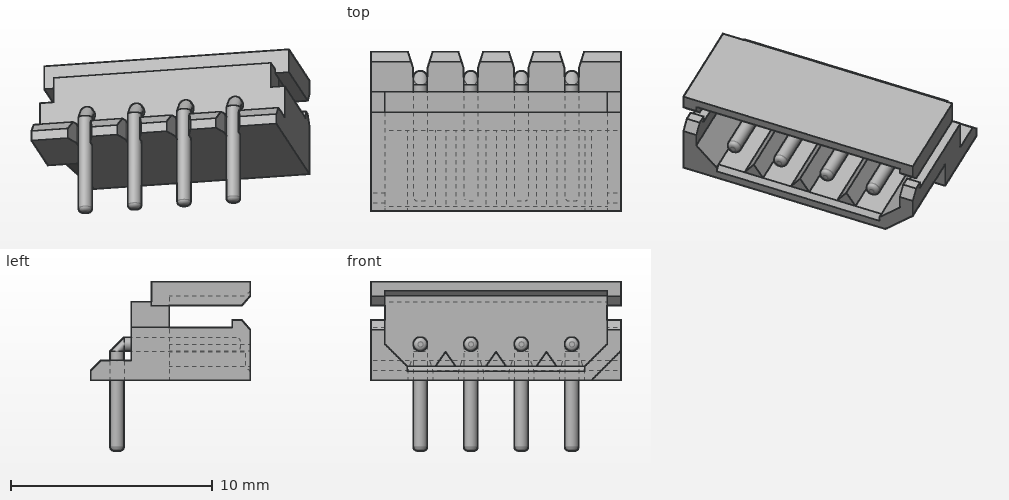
import cadquery as cq


PIN_COUNT = 4
PITCH = 2.5
PIN_DIAMETER = 0.7
PIN_RADIUS = PIN_DIAMETER / 2
PIN_TIP_FILLET = 0.22
PIN_AXIS_Z = 1.8
PIN_LEG_Y = 6.6
PIN_FRONT_Y = 0.5
PIN_BOTTOM_Z = -3.5
CONTACT_END_Y = PIN_LEG_Y - PIN_RADIUS
LEG_TOP_Z = PIN_AXIS_Z - PIN_RADIUS
PIN_XS = [(i - (PIN_COUNT - 1) / 2) * PITCH for i in range(PIN_COUNT)]

WIDTH = 12.4
HALF_WIDTH = WIDTH / 2
SIDE_WALL = 0.7
INNER_HALF = HALF_WIDTH - SIDE_WALL
BODY_REAR_Y = 5.9
SIDE_WALL_TOP_Z = 2.63
REAR_BLOCK_TOP_Z = 3.9

LUG_LENGTH = 0.9
LUG_TOP_Z = 3.0
LEAD_IN_DEPTH = 0.42
LEAD_IN_HEIGHT = 0.48

HOOD_DEPTH = 4.9
HOOD_TOP_Z = 4.9
HOOD_BOTTOM_Z = 3.7

CAVITY_DEPTH = 4.0
CAVITY_FLOOR_Z = 0.7
CAVITY_CEILING_Z = 4.2
CAVITY_CORNER = 1.1
FLOOR_HALF = INNER_HALF - CAVITY_CORNER
MOUTH_CHAMFER = 0.25

RIB_HALF_WIDTH = 0.5
RIB_HEIGHT = 0.72

FLANGE_REAR_Y = 7.9
FLANGE_THICKNESS = 1.0
FLANGE_CHAMFER = 0.5
SLOT_FLARE_Y = 7.08
SLOT_MOUTH_WIDTH = 1.22

CORNER_BEVEL = 1.48


def prism_along_x(points, half_width):
    """Extrude a (Y, Z) outline symmetrically about X = 0."""
    return cq.Workplane("YZ").polyline(points).close().extrude(half_width, both=True)


def prism_along_y(points, start_y, end_y):
    """Extrude an (X, Z) outline from start_y to end_y."""
    plane = cq.Workplane("XZ", origin=(0, start_y, 0))
    return plane.polyline(points).close().extrude(start_y - end_y)


def lower_body():
    """Side profile with the front lugs and the rear flange."""
    return prism_along_x(
        [
            (0, 0),
            (FLANGE_REAR_Y, 0),
            (FLANGE_REAR_Y, FLANGE_THICKNESS - FLANGE_CHAMFER),
            (FLANGE_REAR_Y - FLANGE_CHAMFER, FLANGE_THICKNESS),
            (BODY_REAR_Y, FLANGE_THICKNESS),
            (BODY_REAR_Y, SIDE_WALL_TOP_Z),
            (LUG_LENGTH, SIDE_WALL_TOP_Z),
            (LUG_LENGTH, LUG_TOP_Z),
            (LEAD_IN_DEPTH, LUG_TOP_Z),
            (0, LUG_TOP_Z - LEAD_IN_HEIGHT),
        ],
        HALF_WIDTH,
    )


def rear_block():
    """Raised back wall between the side walls, carrying the hood."""
    return prism_along_x(
        [
            (CAVITY_DEPTH, 0),
            (BODY_REAR_Y, 0),
            (BODY_REAR_Y, REAR_BLOCK_TOP_Z),
            (CAVITY_DEPTH, REAR_BLOCK_TOP_Z),
        ],
        INNER_HALF,
    )


def hood():
    """Full-width roof, bevelled under its front edge."""
    return prism_along_x(
        [
            (LEAD_IN_DEPTH, HOOD_BOTTOM_Z),
            (HOOD_DEPTH, HOOD_BOTTOM_Z),
            (HOOD_DEPTH, HOOD_TOP_Z),
            (0, HOOD_TOP_Z),
            (0, HOOD_BOTTOM_Z + LEAD_IN_HEIGHT),
        ],
        HALF_WIDTH,
    )


def cavity():
    """Mating opening with sloped lower corners."""
    return prism_along_y(
        [
            (-FLOOR_HALF, CAVITY_FLOOR_Z),
            (FLOOR_HALF, CAVITY_FLOOR_Z),
            (INNER_HALF, CAVITY_FLOOR_Z + CAVITY_CORNER),
            (INNER_HALF, CAVITY_CEILING_Z),
            (-INNER_HALF, CAVITY_CEILING_Z),
            (-INNER_HALF, CAVITY_FLOOR_Z + CAVITY_CORNER),
        ],
        0,
        CAVITY_DEPTH,
    )


def mouth_chamfer(edge_z, outward, half_width):
    """Wedge that bevels the cavity edge at edge_z; outward is +1 up or -1 down."""
    return prism_along_x(
        [(0, edge_z), (MOUTH_CHAMFER, edge_z), (0, edge_z + outward * MOUTH_CHAMFER)],
        half_width,
    )


def floor_rib(center_x):
    """Triangular ridge from the floor chamfer to the back wall."""
    return prism_along_y(
        [
            (center_x - RIB_HALF_WIDTH, CAVITY_FLOOR_Z),
            (center_x + RIB_HALF_WIDTH, CAVITY_FLOOR_Z),
            (center_x, CAVITY_FLOOR_Z + RIB_HEIGHT),
        ],
        MOUTH_CHAMFER,
        CAVITY_DEPTH,
    )


def flange_slot(center_x):
    """Slot with a round seat for the pin leg and a flared open end."""
    half_mouth = SLOT_MOUTH_WIDTH / 2
    return (
        cq.Workplane("XY")
        .moveTo(center_x - PIN_RADIUS, PIN_LEG_Y)
        .threePointArc((center_x, PIN_LEG_Y - PIN_RADIUS), (center_x + PIN_RADIUS, PIN_LEG_Y))
        .lineTo(center_x + PIN_RADIUS, SLOT_FLARE_Y)
        .lineTo(center_x + half_mouth, FLANGE_REAR_Y)
        .lineTo(center_x - half_mouth, FLANGE_REAR_Y)
        .lineTo(center_x - PIN_RADIUS, SLOT_FLARE_Y)
        .close()
        .extrude(FLANGE_THICKNESS)
    )


def pin_hole(center_x):
    """Round hole through the back wall."""
    plane = cq.Workplane("XZ", origin=(center_x, CAVITY_DEPTH, PIN_AXIS_Z))
    return plane.circle(PIN_RADIUS).extrude(CAVITY_DEPTH - BODY_REAR_Y)


def corner_bevel():
    """Wedge removed from the lower +X corner, as deep as the cavity."""
    return prism_along_y(
        [(HALF_WIDTH - CORNER_BEVEL, 0), (HALF_WIDTH, 0), (HALF_WIDTH, CORNER_BEVEL)],
        0,
        CAVITY_DEPTH,
    )


def make_housing():
    body = lower_body().union(rear_block()).union(hood())
    body = body.cut(cavity())
    body = body.cut(mouth_chamfer(CAVITY_FLOOR_Z, -1, FLOOR_HALF))
    body = body.cut(mouth_chamfer(CAVITY_CEILING_Z, 1, INNER_HALF))
    for left_x, right_x in zip(PIN_XS, PIN_XS[1:]):
        body = body.union(floor_rib((left_x + right_x) / 2))
    for center_x in PIN_XS:
        body = body.cut(flange_slot(center_x)).cut(pin_hole(center_x))
    return body.cut(corner_bevel())


def pin_elbow(center_x):
    """Ruled piece joining the round ends of contact and leg, sloped at 45 degrees outside."""
    contact_end = cq.Workplane("XZ", origin=(center_x, CONTACT_END_Y, PIN_AXIS_Z))
    leg_end = cq.Workplane("XY", origin=(center_x, PIN_LEG_Y, LEG_TOP_Z))
    rims = [end.circle(PIN_RADIUS).wire().val() for end in (contact_end, leg_end)]
    return cq.Workplane(cq.Solid.makeLoft(rims, True))


def make_pin(center_x):
    """Bent round pin with rounded tips."""
    contact = (
        cq.Workplane("XZ", origin=(center_x, CONTACT_END_Y, PIN_AXIS_Z))
        .circle(PIN_RADIUS)
        .extrude(CONTACT_END_Y - PIN_FRONT_Y)
        .faces("<Y")
        .edges()
        .fillet(PIN_TIP_FILLET)
    )
    leg = (
        cq.Workplane("XY", origin=(center_x, PIN_LEG_Y, PIN_BOTTOM_Z))
        .circle(PIN_RADIUS)
        .extrude(LEG_TOP_Z - PIN_BOTTOM_Z)
        .faces("<Z")
        .edges()
        .fillet(PIN_TIP_FILLET)
    )
    return contact.union(pin_elbow(center_x)).union(leg)


housing = make_housing()
pins = [make_pin(center_x) for center_x in PIN_XS]

result = cq.Compound.makeCompound([housing.solids().val(), *[pin.solids().val() for pin in pins]])